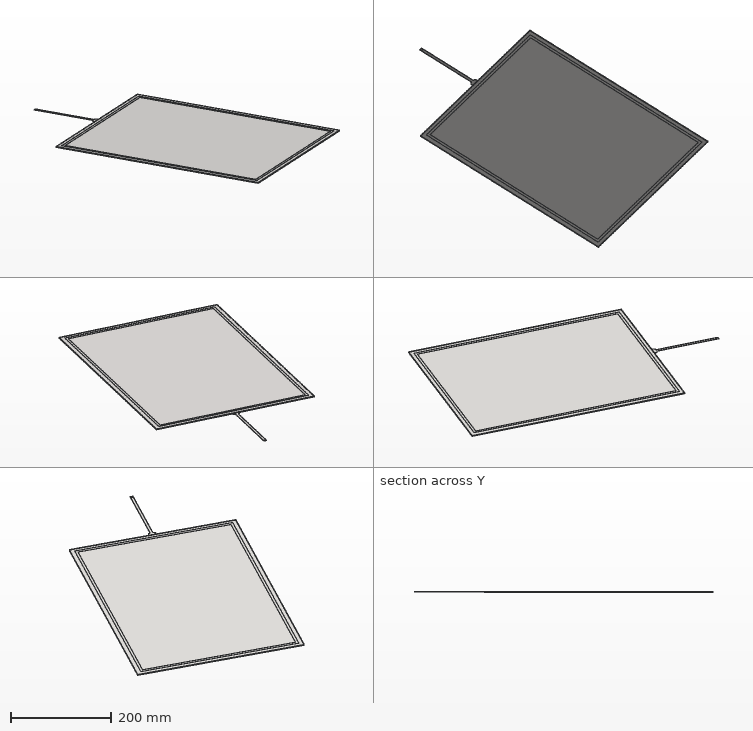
import cadquery as cq

total_length = 595.0
panel_width = 348.0
panel_thickness = 2.1

panel_length = 455.0
outer_step_margin_x = 8.0
outer_step_margin_y = 9.0
inner_step_extra = 5.5
step_depth = 0.2

tail_width = 6.0
tail_thickness = 0.35
tail_top = 2.0
contact_length = 4.0
contact_step = 0.2

tab_length = 7.0
tab_width = 15.5
tab_corner_radius = 4.0

panel_right = total_length / 2
panel_left = panel_right - panel_length
tail_end = -total_length / 2
tail_bottom = tail_top - tail_thickness
joint_overlap = 3.0


def block(x_start, x_end, width, z_bottom, z_top):
    """Box between two X and two Z positions, centred on Y = 0."""
    return (
        cq.Workplane("XY")
        .box(x_end - x_start, width, z_top - z_bottom, centered=(False, True, False))
        .translate((x_start, 0, z_bottom))
    )


def make_panel():
    panel = block(panel_left, panel_right, panel_width, 0, panel_thickness)
    for level, extra in enumerate((0, inner_step_extra), start=1):
        margin_x = outer_step_margin_x + extra
        margin_y = outer_step_margin_y + extra
        pocket = block(
            panel_left + margin_x,
            panel_right - margin_x,
            panel_width - 2 * margin_y,
            panel_thickness - level * step_depth,
            panel_thickness,
        )
        panel = panel.cut(pocket)
    return panel


def make_tail():
    strip = block(tail_end, panel_left + joint_overlap, tail_width, tail_bottom, tail_top)
    contact_end = block(
        tail_end, tail_end + contact_length, tail_width, tail_top - contact_step, tail_top
    )
    return strip.cut(contact_end)


def make_tab():
    tab = block(
        panel_left - tab_length, panel_left + joint_overlap, tab_width, tail_bottom, tail_top
    )
    return tab.edges("|Z and <X").fillet(tab_corner_radius)


result = make_panel().union(make_tab()).union(make_tail())